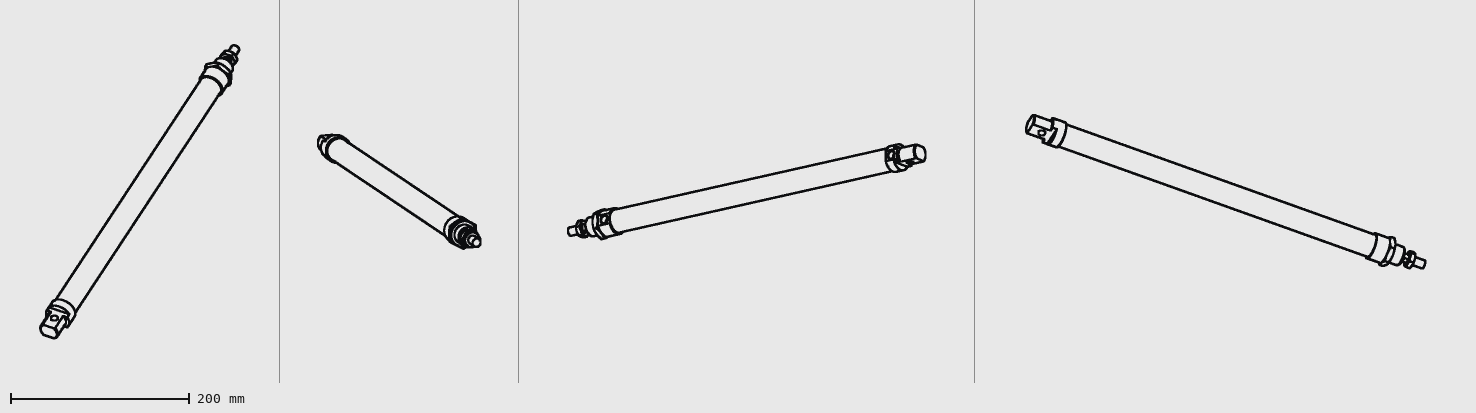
import cadquery as cq
import math

LENGTH = 490.0
ROD_TIP_Y = LENGTH / 2
ROD_NUT_START = 14.0
ROD_NUT_THICKNESS = 6.0
ROD_FLATS_START = ROD_NUT_START + ROD_NUT_THICKNESS
ROD_FLATS_END = 25.5
NOSE_START = 27.5
HEAD_NUT_START = 42.0
HEAD_START = 49.0
HEAD_END = 65.0
REAR_CAP_START = 452.0
TONGUE_START = 462.5
REAR_CAP_END = 468.0

TUBE_DIAMETER = 26.5
CAP_DIAMETER = 30.0
PORT_FLAT_X = -13.5
NOSE_DIAMETER = 22.0
NOSE_CHAMFER = 2.0
TONGUE_THICKNESS = 16.0
TONGUE_END_CHAMFER = 1.0
PIVOT_HOLE_DIAMETER = 8.0
PIVOT_FROM_END = 14.5
PORT_DIAMETER = 9.0
PORT_MOUTH_DIAMETER = 10.0
FRONT_PORT_STATION = 57.5
REAR_PORT_STATION = 459.5

ROD_DIAMETER = 10.0
ROD_FLATS = 8.0
ROD_NUT_FLATS = 17.0
HEAD_NUT_FLATS = 30.0
HEAD_NUT_THICKNESS = HEAD_START - HEAD_NUT_START

NUT_CHAMFER_ANGLE = 30.0


def rod_axis_plane(station):
    """Work plane facing the rear, with local x along X and local y along -Z."""
    return cq.Workplane(
        cq.Plane(origin=(0, ROD_TIP_Y - station, 0), xDir=(1, 0, 0), normal=(0, -1, 0))
    )


def cylinder(diameter, start, end):
    return rod_axis_plane(start).circle(diameter / 2).extrude(end - start)


def slab(width, height, start, end):
    return rod_axis_plane(start).rect(width, height).extrude(end - start)


def make_cap(start, end):
    """Round cap with a flat for the air port on the -X side."""
    beyond_flat = slab(CAP_DIAMETER, CAP_DIAMETER, start, end)
    beyond_flat = beyond_flat.translate((PORT_FLAT_X - CAP_DIAMETER / 2, 0, 0))
    return cylinder(CAP_DIAMETER, start, end).cut(beyond_flat)


def make_port(station, floor_x):
    """Cutter for an air port from the -X flat down to floor_x, with a chamfered mouth."""
    mouth_chamfer = (PORT_MOUTH_DIAMETER - PORT_DIAMETER) / 2
    axis_y = ROD_TIP_Y - station
    flat_plane = cq.Workplane("YZ", origin=(PORT_FLAT_X, axis_y, 0))
    bore = flat_plane.circle(PORT_DIAMETER / 2).extrude(floor_x - PORT_FLAT_X)
    mouth = flat_plane.circle(PORT_MOUTH_DIAMETER / 2).extrude(mouth_chamfer, taper=45)
    return bore.union(mouth)


def make_housing():
    nose = cylinder(NOSE_DIAMETER, NOSE_START, HEAD_START).faces(">Y").chamfer(NOSE_CHAMFER)
    head = make_cap(HEAD_START, HEAD_END)
    tube = cylinder(TUBE_DIAMETER, HEAD_END, REAR_CAP_START)
    tail = cylinder(NOSE_DIAMETER, REAR_CAP_END, LENGTH).faces("<Y").chamfer(TONGUE_END_CHAMFER)
    rear = make_cap(REAR_CAP_START, REAR_CAP_END).union(tail)

    tongue = slab(CAP_DIAMETER, TONGUE_THICKNESS, TONGUE_START, LENGTH)
    rear = rear.intersect(tongue.union(cylinder(CAP_DIAMETER, REAR_CAP_START, TONGUE_START)))

    pivot_hole = (
        cq.Workplane("XY", origin=(0, PIVOT_FROM_END - LENGTH / 2, 0))
        .circle(PIVOT_HOLE_DIAMETER / 2)
        .extrude(TONGUE_THICKNESS / 2, both=True)
    )
    rod_bore = cylinder(ROD_DIAMETER, NOSE_START, HEAD_END)
    return (
        nose.union(head)
        .union(tube)
        .union(rear)
        .cut(pivot_hole)
        .cut(rod_bore)
        .cut(make_port(FRONT_PORT_STATION, 0))
        .cut(make_port(REAR_PORT_STATION, -ROD_DIAMETER / 2))
    )


def make_rod():
    """Piston rod with two wrench flats between its nut and the nose."""
    rod = cylinder(ROD_DIAMETER, 0, HEAD_END)
    neck = slab(ROD_DIAMETER, ROD_DIAMETER, ROD_FLATS_START, ROD_FLATS_END)
    return rod.cut(neck.cut(slab(ROD_DIAMETER, ROD_FLATS, ROD_FLATS_START, ROD_FLATS_END)))


def make_nut(across_flats, bore, start, thickness, turn):
    """Hexagon nut chamfered on both faces; turn rotates its corners away from the X direction."""
    across_corners = across_flats / math.cos(math.radians(30))
    chamfer_width = (across_corners - across_flats) / 2
    chamfer_depth = chamfer_width * math.tan(math.radians(NUT_CHAMFER_ANGLE))
    rounding = (
        cylinder(across_corners, start, start + thickness)
        .faces("<Y or >Y")
        .chamfer(chamfer_depth, chamfer_width)
    )
    hexagon = (
        rod_axis_plane(start)
        .transformed(rotate=(0, 0, turn))
        .polygon(6, across_corners)
        .circle(bore / 2)
        .extrude(thickness)
    )
    return hexagon.intersect(rounding)


housing = make_housing()
rod = make_rod()
rod_nut = make_nut(ROD_NUT_FLATS, ROD_DIAMETER, ROD_NUT_START, ROD_NUT_THICKNESS, turn=0)
head_nut = make_nut(HEAD_NUT_FLATS, NOSE_DIAMETER, HEAD_NUT_START, HEAD_NUT_THICKNESS, turn=30)

result = cq.Compound.makeCompound([housing.val(), rod.val(), rod_nut.val(), head_nut.val()])